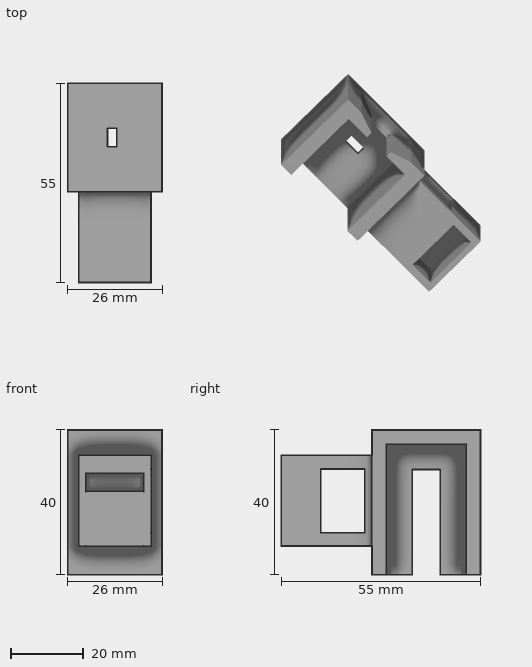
import cadquery as cq

body_width = 26.0
body_length = 30.0
body_height = 40.0

total_length = 55.0
tongue_width = 20.0
tongue_height = 25.0
tongue_bottom = 8.0
tongue_length = total_length - body_length

window_length = 12.05
window_height = 17.5
window_gap = 2.0
window_floor = 3.7

display_width = 15.95
display_height = 4.95
display_below_top = 5.0
front_wall = 1.6
pocket_length = 7.0

throat_width = 7.7
throat_height = 29.05
flare_growth = 5.95
flare_depth = 2.0

cavity_wall = 3.7
cavity_width = 22.0
cavity_height = 35.95

roof_slot_width = 2.5
roof_slot_length = 5.05
roof_slot_x = -0.75

body_front = -body_length / 2
tongue_front = body_front - tongue_length


def box(x_size, y_size, z_size, x_center, y_center, z_bottom):
    """Box centred in X and Y, standing on z_bottom."""
    blank = cq.Workplane("XY").box(x_size, y_size, z_size, centered=(True, True, False))
    return blank.translate((x_center, y_center, z_bottom))


def mouth_flare():
    """Tapered mouth, wide at the -X face and narrowing to the throat."""
    mouth_width = throat_width + 2 * flare_growth
    mouth_height = throat_height + flare_growth
    return (
        cq.Workplane("YZ", origin=(-body_width / 2, 0, 0))
        .rect(mouth_width, 2 * mouth_height)
        .workplane(offset=flare_depth)
        .rect(throat_width, 2 * throat_height)
        .loft(ruled=True)
    )


body = box(body_width, body_length, body_height, 0, 0, 0)
tongue = box(tongue_width, tongue_length, tongue_height, 0, body_front - tongue_length / 2, tongue_bottom)

window_y = body_front - window_gap - window_length / 2
window = box(tongue_width, window_length, window_height, 0, window_y, tongue_bottom + window_floor)

display_bottom = tongue_bottom + tongue_height - display_below_top - display_height
display_slot = box(display_width, front_wall, display_height, 0, tongue_front + front_wall / 2, display_bottom)

pocket_y = tongue_front + front_wall + pocket_length / 2
pocket_height = window_floor + window_height
pocket = box(display_width, pocket_length, pocket_height, 0, pocket_y, tongue_bottom)

throat_x = (cavity_wall - body_width) / 2
throat = box(cavity_wall, throat_width, throat_height, throat_x, 0, 0)

cavity_length = body_width - cavity_wall
cavity = box(cavity_length, cavity_width, cavity_height, cavity_wall / 2, 0, 0)

roof_thickness = body_height - cavity_height
roof_slot = box(roof_slot_width, roof_slot_length, roof_thickness, roof_slot_x, 0, cavity_height)

result = (
    body.union(tongue)
    .cut(window)
    .cut(display_slot)
    .cut(pocket)
    .cut(throat)
    .cut(mouth_flare())
    .cut(cavity)
    .cut(roof_slot)
)